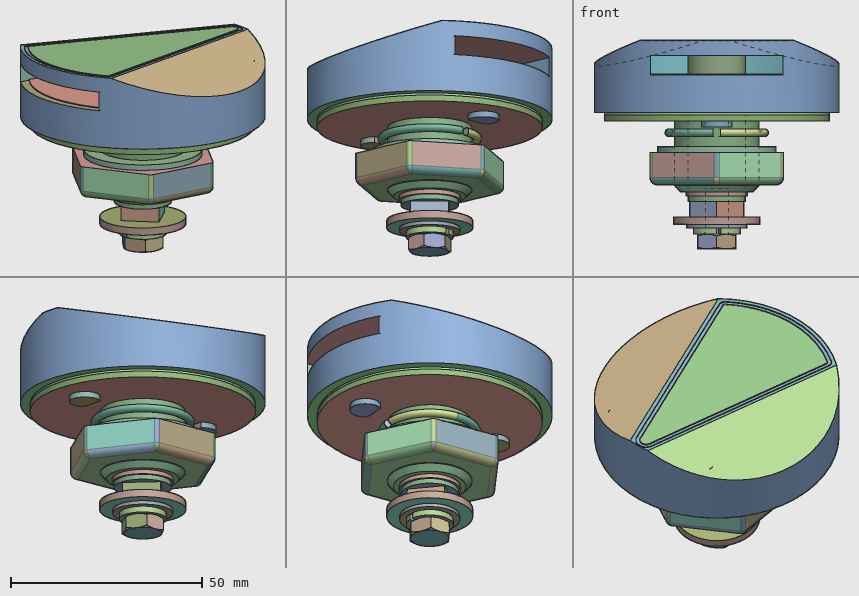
import cadquery as cq
import math


KNOB_RADIUS = 32.0
KNOB_TOP = 21.1
KNOB_BOTTOM = 2.2
EDGE_DISTANCE = 12.0
WEDGE_HALF_ANGLE = 16.7
SLOPE_DROP = 6.7

GROOVE_MARGIN = 1.0
GROOVE_WIDTH = 1.0
GROOVE_DEPTH = 0.25
GROOVE_TIP_RADIUS = 2.7
GROOVE_CORNER_RADIUS = 1.65

WINDOW_WIDTH = 34.55
WINDOW_TOP = 17.1
WINDOW_SILL = 12.0
WINDOW_FLOOR = 12.2
SILL_INNER_RADIUS = 29.7
POCKET_BACK_RADIUS = 29.2

FLANGE_RADIUS = 29.45
FLANGE_TOP = 1.6
PAD_RADIUS = 4.0
PAD_OFFSET = 20.0
PAD_FLAT = 17.4
PAD_HEIGHT = 1.55
BARREL_RADIUS = 11.1
BARREL_END = -18.5
BARREL_CHAMFER = 1.6
COLLAR_RADIUS = 8.0
COLLAR_END = -19.65

SPINDLE_RADIUS = 7.5
SPINDLE_SHOULDER = -21.0
SQUARE_SIDE = 10.0
SPINDLE_END = -25.0

RING_RADIUS = 12.5
RING_WIRE_RADIUS = 1.0
RING_HEIGHT = -3.1
RING_GAP = 2.0

NUT_FLATS = 34.9
NUT_TOP = -8.2
NUT_BOTTOM = -16.7
NUT_CORNER_FILLET = 1.35
NUT_BOTTOM_FILLET = 1.9
NUT_FACE_RADIUS = 15.5
NUT_FACE_TOP = -6.7

WASHER_RADIUS = 11.25
WASHER_BOTTOM = -27.0
WASHER_STEP_RADIUS = 7.9
WASHER_STEP_BOTTOM = -28.0

SPRING_RADIUS = 6.15
SPRING_BOTTOM = -29.6
SPRING_GAP_ANGLE = 10.0

SHANK_RADIUS = 3.0
SHANK_LENGTH = 12.0
HEAD_FLATS = 10.0
HEAD_BOTTOM = -33.4
HEAD_CHAMFER_ANGLE = 30.0

WEDGE_ANGLE = math.radians(WEDGE_HALF_ANGLE)


def cylinder(radius, bottom, top):
    return cq.Workplane("XY").workplane(offset=bottom).circle(radius).extrude(top - bottom)


def hexagon(flats, bottom, top):
    """Hexagonal prism with two of its corners on the Y axis."""
    across_corners = flats / math.cos(math.pi / 6)
    prism = cq.Workplane("XY").polygon(6, across_corners).extrude(top - bottom)
    return prism.rotate((0, 0, 0), (0, 0, 1), 30).translate((0, 0, bottom))


def slope_cutter():
    """Wedge-shaped cutter that leaves the slope on the +X side of the knob."""
    run = KNOB_RADIUS - EDGE_DISTANCE
    profile = (
        cq.Workplane("XZ")
        .moveTo(EDGE_DISTANCE, KNOB_TOP)
        .lineTo(EDGE_DISTANCE + 2 * run, KNOB_TOP)
        .lineTo(EDGE_DISTANCE + 2 * run, KNOB_TOP - 2 * SLOPE_DROP)
        .close()
    )
    cutter = profile.extrude(2 * KNOB_RADIUS, both=True)
    return cutter.rotate((0, 0, 0), (0, 0, 1), WEDGE_HALF_ANGLE)


def wedge_plug(inset, tip_radius, corner_radius):
    """Rounded wedge that follows the flat of the knob top at the given inset."""
    arc_radius = KNOB_RADIUS - inset
    side_distance = EDGE_DISTANCE - inset
    apex_y = side_distance / math.sin(WEDGE_ANGLE)
    corner_angle = WEDGE_ANGLE - math.acos(side_distance / arc_radius)
    corner_x = arc_radius * math.cos(corner_angle)
    corner_y = arc_radius * math.sin(corner_angle)
    return (
        cq.Workplane("XY")
        .workplane(offset=KNOB_TOP - GROOVE_DEPTH)
        .moveTo(0, apex_y)
        .lineTo(corner_x, corner_y)
        .threePointArc((0, -arc_radius), (-corner_x, corner_y))
        .close()
        .extrude(GROOVE_DEPTH)
        .edges("|Z and >Y").fillet(tip_radius)
        .edges("|Z and <X").fillet(corner_radius)
        .edges("|Z and >X").fillet(corner_radius)
    )


def wedge_groove():
    outer = wedge_plug(GROOVE_MARGIN, GROOVE_TIP_RADIUS, GROOVE_CORNER_RADIUS)
    inner = wedge_plug(
        GROOVE_MARGIN + GROOVE_WIDTH,
        GROOVE_TIP_RADIUS - GROOVE_WIDTH,
        GROOVE_CORNER_RADIUS - GROOVE_WIDTH,
    )
    return outer.cut(inner)


def window_band(bottom, front_only=False):
    """Band of the window's width from the given floor to the window's top."""
    height = WINDOW_TOP - bottom
    depth = KNOB_RADIUS if front_only else 2 * KNOB_RADIUS
    band = cq.Workplane("XY").box(WINDOW_WIDTH, depth, height)
    return band.translate((0, depth / 2 - KNOB_RADIUS, bottom + height / 2))


def window_pocket():
    """Window through the front wall and the pocket behind it, around the spindle hub."""
    behind_sill = cylinder(SILL_INNER_RADIUS, WINDOW_SILL, WINDOW_FLOOR)
    back_pocket = cylinder(POCKET_BACK_RADIUS, WINDOW_FLOOR, WINDOW_TOP)
    hub = cylinder(SPINDLE_RADIUS, WINDOW_SILL, WINDOW_TOP)
    window = window_band(WINDOW_SILL, front_only=True).cut(behind_sill)
    pocket = window_band(WINDOW_FLOOR).intersect(back_pocket)
    return window.union(pocket).cut(hub)


def make_knob():
    knob = cylinder(KNOB_RADIUS, KNOB_BOTTOM, KNOB_TOP)
    slope = slope_cutter()
    knob = knob.cut(slope).cut(slope.mirror("YZ"))
    knob = knob.cut(wedge_groove()).cut(window_pocket())
    rear_boss = cylinder(FLANGE_RADIUS, FLANGE_TOP, KNOB_BOTTOM)
    spindle = cylinder(SPINDLE_RADIUS, SPINDLE_SHOULDER, FLANGE_TOP)
    square = (
        cq.Workplane("XY")
        .workplane(offset=SPINDLE_END)
        .rect(SQUARE_SIDE, SQUARE_SIDE)
        .extrude(SPINDLE_SHOULDER - SPINDLE_END)
        .rotate((0, 0, 0), (0, 0, 1), 45)
    )
    thread_hole = cylinder(SHANK_RADIUS, SPRING_BOTTOM, SPRING_BOTTOM + SHANK_LENGTH)
    return knob.union(rear_boss).union(spindle).union(square).cut(thread_hole)


def make_pad(side):
    """Round locating pad under the flange with its flat towards the axis."""
    pad = cylinder(PAD_RADIUS, -PAD_HEIGHT, 0).translate((0, side * PAD_OFFSET, 0))
    inner_zone = cq.Workplane("XY").box(2 * PAD_FLAT, 2 * PAD_FLAT, 4 * PAD_HEIGHT)
    return pad.cut(inner_zone)


def make_housing():
    barrel = cylinder(BARREL_RADIUS, BARREL_END, 0).faces("<Z").chamfer(BARREL_CHAMFER)
    housing = cylinder(FLANGE_RADIUS, 0, FLANGE_TOP).union(barrel)
    housing = housing.union(cylinder(COLLAR_RADIUS, COLLAR_END, BARREL_END))
    for side in (-1, 1):
        housing = housing.union(make_pad(side))
    return housing.cut(cylinder(SPINDLE_RADIUS, COLLAR_END, FLANGE_TOP))


def make_split_ring():
    """Open ring of round wire, with the gap facing -Y."""
    outer_radius = RING_RADIUS + RING_WIRE_RADIUS
    ring = (
        cq.Workplane("XZ")
        .center(0, RING_HEIGHT)
        .moveTo(RING_RADIUS, 0)
        .circle(RING_WIRE_RADIUS)
        .revolve(360, (0, 0), (0, 1))
    )
    gap = cq.Workplane("XY").box(RING_GAP, outer_radius, 4 * RING_WIRE_RADIUS)
    return ring.cut(gap.translate((0, -outer_radius / 2, RING_HEIGHT)))


def make_nut():
    nut = hexagon(NUT_FLATS, NUT_BOTTOM, NUT_TOP)
    nut = nut.edges("|Z").fillet(NUT_CORNER_FILLET)
    nut = nut.faces("<Z").edges().fillet(NUT_BOTTOM_FILLET)
    nut = nut.union(cylinder(NUT_FACE_RADIUS, NUT_TOP, NUT_FACE_TOP))
    return nut.cut(cylinder(BARREL_RADIUS, NUT_BOTTOM, NUT_FACE_TOP))


def make_stepped_washer():
    washer = cylinder(WASHER_RADIUS, WASHER_BOTTOM, SPINDLE_END)
    washer = washer.union(cylinder(WASHER_STEP_RADIUS, WASHER_STEP_BOTTOM, WASHER_BOTTOM))
    return washer.cut(cylinder(SHANK_RADIUS, WASHER_STEP_BOTTOM, SPINDLE_END))


def make_spring_washer():
    """Open ring around Z, with a radial gap starting at the -Y side."""
    ring = (
        cq.Workplane("XZ")
        .moveTo(SHANK_RADIUS, SPRING_BOTTOM)
        .lineTo(SPRING_RADIUS, SPRING_BOTTOM)
        .lineTo(SPRING_RADIUS, WASHER_STEP_BOTTOM)
        .lineTo(SHANK_RADIUS, WASHER_STEP_BOTTOM)
        .close()
        .revolve(360 - SPRING_GAP_ANGLE, (0, 0), (0, 1))
    )
    return ring.rotate((0, 0, 0), (0, 0, 1), SPRING_GAP_ANGLE - 90)


def make_bolt():
    corner_radius = HEAD_FLATS / 2 / math.cos(math.pi / 6)
    face_radius = HEAD_FLATS / 2
    chamfer_height = (corner_radius - face_radius) * math.tan(math.radians(HEAD_CHAMFER_ANGLE))
    head_envelope = (
        cq.Workplane("XZ")
        .moveTo(0, HEAD_BOTTOM)
        .lineTo(face_radius, HEAD_BOTTOM)
        .lineTo(corner_radius, HEAD_BOTTOM + chamfer_height)
        .lineTo(corner_radius, SPRING_BOTTOM - chamfer_height)
        .lineTo(face_radius, SPRING_BOTTOM)
        .lineTo(0, SPRING_BOTTOM)
        .close()
        .revolve(360, (0, 0), (0, 1))
    )
    head = hexagon(HEAD_FLATS, HEAD_BOTTOM, SPRING_BOTTOM).intersect(head_envelope)
    return head.union(cylinder(SHANK_RADIUS, SPRING_BOTTOM, SPRING_BOTTOM + SHANK_LENGTH))


knob = make_knob()
housing = make_housing()
split_ring = make_split_ring()
nut = make_nut()
stepped_washer = make_stepped_washer()
spring_washer = make_spring_washer()
bolt = make_bolt()

result = cq.Compound.makeCompound([
    knob.val(),
    housing.val(),
    split_ring.val(),
    nut.val(),
    stepped_washer.val(),
    spring_washer.val(),
    bolt.val(),
])